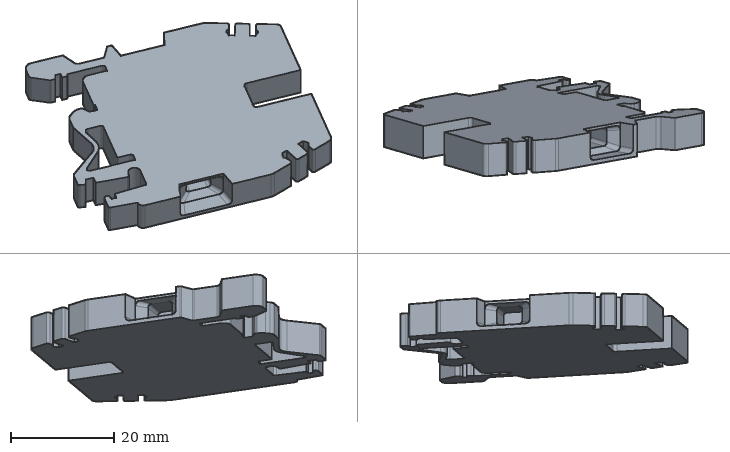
import cadquery as cq
import math

HEIGHT = 50.5
THICKNESS = 6.45
HALF_WIDTH = 21.0

BASE_Y = 9.5
BASE_LEFT_RADIUS = 1.4
BASE_RIGHT_RADIUS = 1.05
FOOT_SLOT_Y = 12.6

SLOT_HALF_WIDTH = 3.3
SLOT_DEPTH = 11.65
SLOT_RADIUS = 0.6

SHOULDER_Y = 36.65
SHOULDER_ANGLE = 20.0
SHOULDER_FOOT_RADIUS = 2.0
SHOULDER_TOP_RADIUS = 1.0
NOTCH_WIDTH = 1.15
NOTCH_DEPTH = 3.15
LOWER_NOTCH_START = 4.85
TOOTH_WIDTH = 2.9
TOOTH_RADIUS = 0.45
BARB_START = 1.35
BARB_PEAK = 2.1
BARB_HEIGHT = 0.5

RECESS_Y = 23.15
RECESS_DEPTH = 3.15
RECESS_MOUTH = 10.6
RECESS_BACK = 9.0
RECESS_FLOOR_Z = 0.85
RECESS_RADIUS = 0.9
POCKET_DEPTH = 1.6
POCKET_TOP_Z = 5.9
HOLE_DEPTH = 5.05
HOLE_WIDTH = 5.05
HOLE_BOTTOM_Z = 1.85
HOLE_TOP_Z = 5.55
HOLE_RADIUS = 0.7

HOOK_LEFT = -21.5
HOOK_RIGHT = -16.0
HOOK_STEM_LEFT = -18.45
HOOK_STEM_RIGHT = -16.5
HOOK_RAMP_ANGLE = 30.0
HOOK_UPPER_RAMP_Y = 16.85
HOOK_LOWER_RAMP_Y = 8.0
HOOK_SLOT_RIGHT = -14.95
HOOK_SLOT_Y = 14.85

LATCH_TOP_Y = 6.0
LATCH_BOTTOM_Y = 5.0
HOOK_LATCH_X = -17.0
FOOT_LATCH_X = 17.35
FOOT_BOTTOM_Y = 3.75

CLIP_LEFT = -7.1
CLIP_NECK_X = -5.75
CLIP_NECK_TOP_Y = 9.8
CLIP_BOTTOM_Y = 3.9
ARM_BEND_X = 3.65
ARM_LOWER_BEND_Y = 6.4
ARM_LOWER_BEND_RADIUS = 2.05
ARM_UPPER_BEND_Y = 7.45
ARM_UPPER_BEND_RADIUS = 2.8
ARM_GROOVE_X = 10.95
ARM_GROOVE_TOP_Y = 3.45
ARM_GROOVE_BOTTOM_Y = 1.8
TIP_RADIUS = 0.2

FOOT_GAP_END_X = 12.1
FOOT_GAP_CORNER_Y = 10.2

WINDOW_LEFT = -1.55
WINDOW_RIGHT = 9.05


def rounded_outline(corners):
    """Closed wire through (x, y, radius) corners, each rounded by a tangent arc."""
    stretches = []
    for i, (x, y, radius) in enumerate(corners):
        here = cq.Vector(x, y)
        to_last = (cq.Vector(*corners[i - 1][:2]) - here).normalized()
        to_next = (cq.Vector(*corners[(i + 1) % len(corners)][:2]) - here).normalized()
        if radius == 0:
            stretches.append((here,))
            continue
        half_angle = to_last.getAngle(to_next) / 2
        trim = radius / math.tan(half_angle)
        corner_gap = radius / math.sin(half_angle) - radius
        middle = here + (to_last + to_next).normalized() * corner_gap
        stretches.append((here + to_last * trim, middle, here + to_next * trim))

    outline = cq.Workplane("XY").moveTo(*stretches[0][-1].toTuple()[:2])
    for stretch in stretches[1:] + stretches[:1]:
        points = [point.toTuple()[:2] for point in stretch]
        outline = outline.lineTo(*points[0])
        if len(points) == 3:
            outline = outline.threePointArc(points[1], points[2])
    return outline.close()


def head_side():
    """Right half of the head, from the shoulder foot up to the slot bottom."""
    angle = math.radians(SHOULDER_ANGLE)

    def on_slope(along, depth, radius=0):
        x = HALF_WIDTH - along * math.sin(angle) - depth * math.cos(angle)
        y = SHOULDER_Y + along * math.cos(angle) - depth * math.sin(angle)
        return x, y, radius

    lower_end = LOWER_NOTCH_START + NOTCH_WIDTH
    upper_start = lower_end + TOOTH_WIDTH
    upper_end = upper_start + NOTCH_WIDTH
    slope_length = (HEIGHT - SHOULDER_Y) / math.cos(angle)
    return [
        on_slope(0, 0, SHOULDER_FOOT_RADIUS),
        on_slope(LOWER_NOTCH_START, 0, TOOTH_RADIUS),
        on_slope(LOWER_NOTCH_START, BARB_START),
        on_slope(LOWER_NOTCH_START - BARB_HEIGHT, BARB_PEAK),
        on_slope(LOWER_NOTCH_START, NOTCH_DEPTH),
        on_slope(lower_end, NOTCH_DEPTH),
        on_slope(lower_end, 0, TOOTH_RADIUS),
        on_slope(upper_start, 0, TOOTH_RADIUS),
        on_slope(upper_start, NOTCH_DEPTH),
        on_slope(upper_end, NOTCH_DEPTH),
        on_slope(upper_end + BARB_HEIGHT, BARB_PEAK),
        on_slope(upper_end, BARB_START),
        on_slope(upper_end, 0, TOOTH_RADIUS),
        on_slope(slope_length, 0, SHOULDER_TOP_RADIUS),
        (SLOT_HALF_WIDTH, HEIGHT, 0),
        (SLOT_HALF_WIDTH, HEIGHT - SLOT_DEPTH, SLOT_RADIUS),
    ]


def snap_hook():
    """Left hook, from the housing side down, round the tip and up its inner slot."""
    barb_top_y = 7.25
    ramp = math.tan(math.radians(HOOK_RAMP_ANGLE))
    upper_ramp_end = HOOK_UPPER_RAMP_Y - (HOOK_STEM_LEFT + HALF_WIDTH) * ramp
    lower_ramp_end = HOOK_LOWER_RAMP_Y + (HOOK_STEM_LEFT - HOOK_LEFT) * ramp
    return [
        (-HALF_WIDTH, HOOK_UPPER_RAMP_Y, TIP_RADIUS),
        (HOOK_STEM_LEFT, upper_ramp_end, 0.3),
        (HOOK_STEM_LEFT, lower_ramp_end, 1.0),
        (HOOK_LEFT, HOOK_LOWER_RAMP_Y, TIP_RADIUS),
        (HOOK_LEFT, 0, 1.5),
        (-18.05, 0, 0.5),
        (HOOK_RIGHT, 3.65, 0.4),
        (HOOK_RIGHT, 4.65, TIP_RADIUS),
        (HOOK_LATCH_X, LATCH_BOTTOM_Y, 0),
        (HOOK_LATCH_X, LATCH_TOP_Y, 0),
        (HOOK_RIGHT, LATCH_TOP_Y, 0),
        (HOOK_RIGHT, barb_top_y, 0.45),
        (HOOK_STEM_RIGHT, barb_top_y, 0),
        (HOOK_STEM_RIGHT, HOOK_SLOT_Y, 0.5),
        (HOOK_SLOT_RIGHT, HOOK_SLOT_Y, 0),
        (HOOK_SLOT_RIGHT, BASE_Y, BASE_LEFT_RADIUS),
    ]


def spring_arm():
    """Underside of the rail clip, from its rail groove to the tip of the sprung foot."""
    return [
        (CLIP_LEFT, BASE_Y, 0),
        (CLIP_LEFT, CLIP_NECK_TOP_Y, 0),
        (CLIP_NECK_X, CLIP_NECK_TOP_Y, 0),
        (CLIP_NECK_X, 8.2, TIP_RADIUS),
        (CLIP_LEFT, 7.1, 0.6),
        (CLIP_LEFT, 5.75, 2.5),
        (-5.65, CLIP_BOTTOM_Y, 1.2),
        (-2.8, CLIP_BOTTOM_Y, 0),
        (ARM_BEND_X, ARM_LOWER_BEND_Y, ARM_LOWER_BEND_RADIUS),
        (9.0, 0, 0.45),
        (11.9, 0, 0.35),
        (12.15, 1.45, TIP_RADIUS),
        (ARM_GROOVE_X, ARM_GROOVE_BOTTOM_Y, 0),
        (ARM_GROOVE_X, ARM_GROOVE_TOP_Y, 0),
        (12.35, ARM_GROOVE_TOP_Y, 0),
        (12.95, FOOT_GAP_CORNER_Y, 0.45),
    ]


def fixed_foot():
    """Right foot, from the gap beside it to the housing side."""
    return [
        (FOOT_GAP_END_X, FOOT_GAP_CORNER_Y, 0),
        (FOOT_GAP_END_X, FOOT_SLOT_Y, 0),
        (15.95, FOOT_SLOT_Y, 0.45),
        (16.3, LATCH_TOP_Y, 0),
        (FOOT_LATCH_X, LATCH_TOP_Y, 0),
        (FOOT_LATCH_X, LATCH_BOTTOM_Y, 0),
        (16.25, 4.7, TIP_RADIUS),
        (16.5, FOOT_BOTTOM_Y, 0.45),
        (19.45, FOOT_BOTTOM_Y, 0.3),
        (19.9, BASE_Y, 0),
        (HALF_WIDTH, BASE_Y, BASE_RIGHT_RADIUS),
    ]


def foot_gap_end():
    """Cutter for the round end of the gap, bulging left over the sprung foot."""
    radius = (FOOT_SLOT_Y - FOOT_GAP_CORNER_Y) / 2
    return (
        cq.Workplane("XY")
        .center(FOOT_GAP_END_X, FOOT_SLOT_Y - radius)
        .circle(radius)
        .extrude(THICKNESS)
    )


def spring_window():
    """Through opening between the spring arm and the housing."""
    slit_left = 7.4
    return rounded_outline([
        (WINDOW_LEFT, BASE_Y, 0.4),
        (WINDOW_LEFT, 5.55, 0.6),
        (ARM_BEND_X, ARM_UPPER_BEND_Y, ARM_UPPER_BEND_RADIUS),
        (WINDOW_RIGHT, 2.2, 0.5),
        (WINDOW_RIGHT, FOOT_SLOT_Y, 0),
        (slit_left, FOOT_SLOT_Y, 0.55),
        (slit_left, BASE_Y, TIP_RADIUS),
    ]).extrude(THICKNESS)


def wire_recess():
    """Cutter for the left recess: open-topped, its back face funnelling into a wire hole."""
    back_x = RECESS_DEPTH - HALF_WIDTH

    def section(width, bottom_z, top_z, radius):
        middle = cq.Location(cq.Vector(RECESS_Y, (bottom_z + top_z) / 2))
        return cq.Sketch().rect(width, top_z - bottom_z).vertices().fillet(radius).moved(middle)

    recess = (
        cq.Workplane("XY", origin=(0, 0, RECESS_FLOOR_Z))
        .moveTo(-HALF_WIDTH, RECESS_Y - RECESS_MOUTH / 2)
        .lineTo(back_x, RECESS_Y - RECESS_BACK / 2)
        .lineTo(back_x, RECESS_Y + RECESS_BACK / 2)
        .lineTo(-HALF_WIDTH, RECESS_Y + RECESS_MOUTH / 2)
        .close()
        .extrude(THICKNESS - RECESS_FLOOR_Z)
        .faces("<Z").edges("not |Y").fillet(RECESS_RADIUS)
    )

    frame = section(RECESS_BACK, RECESS_FLOOR_Z, POCKET_TOP_Z, RECESS_RADIUS)
    hole_mouth = section(HOLE_WIDTH, HOLE_BOTTOM_Z, HOLE_TOP_Z, HOLE_RADIUS)
    pocket = (
        cq.Workplane("YZ", origin=(back_x, 0, 0))
        .placeSketch(frame, hole_mouth.moved(cq.Location(cq.Vector(0, 0, POCKET_DEPTH))))
        .loft(ruled=True)
    )
    hole = (
        cq.Workplane("YZ", origin=(back_x + POCKET_DEPTH, 0, 0))
        .placeSketch(hole_mouth)
        .extrude(HOLE_DEPTH)
    )
    return recess.union(pocket).union(hole)


right_head = head_side()
left_head = [(-x, y, radius) for x, y, radius in reversed(right_head)]
outline_corners = right_head + left_head + snap_hook() + spring_arm() + fixed_foot()

recess_cutter = wire_recess()
result = (
    rounded_outline(outline_corners)
    .extrude(THICKNESS)
    .cut(spring_window())
    .cut(foot_gap_end())
    .cut(recess_cutter)
    .cut(recess_cutter.mirror("YZ"))
)